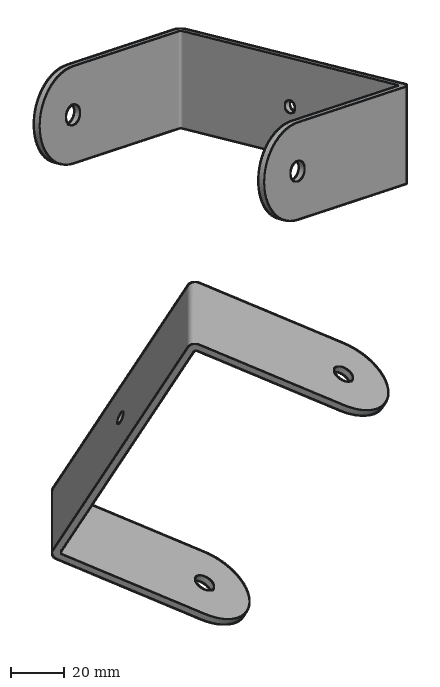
import cadquery as cq

width = 114.3
leg_length = 83.2
height = 38.0
thickness = 3.0
inner_bend_radius = 1.0
outer_bend_radius = 3.2
tilt = -15.0
pivot_hole_diameter = 8.0
web_hole_diameter = 5.0

tip_radius = height / 2


def bent_strap():
    """U-shaped strap: legs run along Y from the tips at y = 0, web at the back."""
    outer = (
        cq.Workplane("XY")
        .box(width, leg_length, height, centered=(True, False, True))
        .edges("|Z and >Y")
        .fillet(outer_bend_radius)
    )
    inner = (
        cq.Workplane("XY")
        .box(width - 2 * thickness, leg_length - thickness, height, centered=(True, False, True))
        .edges("|Z and >Y")
        .fillet(inner_bend_radius)
    )
    return outer.cut(inner)


def rounded_side_profile():
    """Side outline with full-round leg tips, extruded across both legs."""
    return (
        cq.Workplane("YZ")
        .moveTo(leg_length, -tip_radius)
        .lineTo(tip_radius, -tip_radius)
        .threePointArc((0, 0), (tip_radius, tip_radius))
        .lineTo(leg_length, tip_radius)
        .close()
        .extrude(width / 2, both=True)
    )


def pivot_holes():
    """Cylinder through both legs, concentric with their round tips."""
    return (
        cq.Workplane("YZ")
        .center(tip_radius, 0)
        .circle(pivot_hole_diameter / 2)
        .extrude(width, both=True)
    )


def web_hole():
    """Cylinder through the middle of the web."""
    return cq.Workplane("XZ").circle(web_hole_diameter / 2).extrude(-2 * leg_length)


bracket = bent_strap().intersect(rounded_side_profile()).cut(pivot_holes()).cut(web_hole())
result = bracket.rotate((0, 0, 0), (0, 0, 1), tilt)